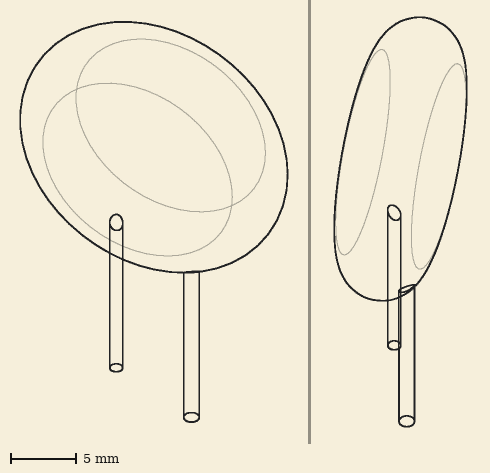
import cadquery as cq

disc_diameter = 22.0
disc_thickness = 6.0
rim_radius = disc_thickness / 2
face_radius = disc_diameter / 2 - rim_radius

lead_x = 3.9
lead_y = 1.55
thin_lead_diameter = 1.0
thick_lead_diameter = 1.2
overall_height = 34.95
lead_bottom_z = disc_diameter / 2 - overall_height


def make_disc():
    """Half section turned about the Y axis: flat faces joined by a semicircular rim."""
    return (
        cq.Workplane("XY")
        .moveTo(0, -rim_radius)
        .lineTo(face_radius, -rim_radius)
        .threePointArc((disc_diameter / 2, 0), (face_radius, rim_radius))
        .lineTo(0, rim_radius)
        .close()
        .revolve(360, (0, 0, 0), (0, 1, 0))
    )


def make_lead(disc, diameter, x, y):
    """Wire rising from its free end to the disc surface, where it is trimmed to fit."""
    wire = (
        cq.Workplane("XY", origin=(x, y, lead_bottom_z))
        .circle(diameter / 2)
        .extrude(-lead_bottom_z)
    )
    return wire.cut(disc)


disc = make_disc()
thin_lead = make_lead(disc, thin_lead_diameter, -lead_x, lead_y)
thick_lead = make_lead(disc, thick_lead_diameter, lead_x, -lead_y)

result = cq.Compound.makeCompound([disc.val(), thin_lead.val(), thick_lead.val()])